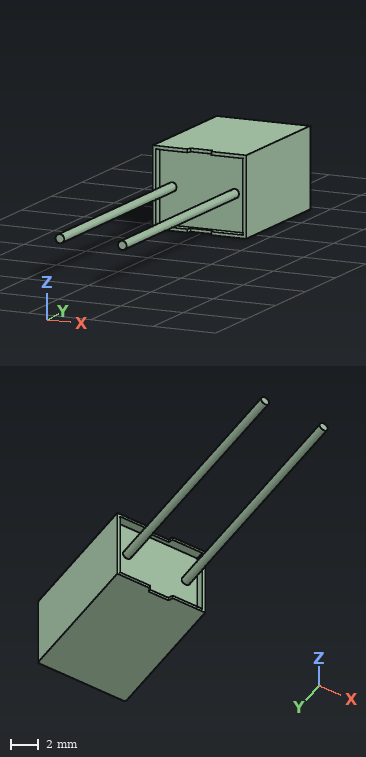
import cadquery as cq

total_length = 29.1
case_width = 7.5
case_height = 6.2
case_length = 11.05

wall = 0.25
end_fillet = 0.47
recess_depth = 0.67
notch_depth = 0.35
notch_mouth_width = 1.92
notch_floor_width = 1.7

lead_diameter = 0.7
lead_spacing = 5.0

lead_tip_y = -total_length / 2
closed_end_y = total_length / 2
open_end_y = closed_end_y - case_length
fill_face_y = open_end_y + recess_depth
cavity_end_y = closed_end_y - wall

cavity_width = case_width - 2 * wall
cavity_height = case_height - 2 * wall


def block_along_y(width, height, start_y, end_y):
    """Rectangular block centred on the Y axis between two stations."""
    return (
        cq.Workplane("XZ", origin=(0, start_y, 0))
        .rect(width, height)
        .extrude(-(end_y - start_y))
    )


def make_notch_cutter():
    """Tapered notch in the open rim, cut through both broad walls."""
    notch_floor_y = open_end_y + notch_depth
    outline = [
        (-notch_mouth_width / 2, open_end_y),
        (notch_mouth_width / 2, open_end_y),
        (notch_floor_width / 2, notch_floor_y),
        (-notch_floor_width / 2, notch_floor_y),
    ]
    return cq.Workplane("XY").polyline(outline).close().extrude(case_height / 2, both=True)


def make_case():
    """Box open at its -Y end, with a rounded rim around the closed end."""
    shell = block_along_y(case_width, case_height, open_end_y, closed_end_y)
    shell = shell.faces(">Y").edges().fillet(end_fillet)
    cavity = block_along_y(cavity_width, cavity_height, open_end_y, cavity_end_y)
    return shell.cut(cavity).cut(make_notch_cutter())


def make_fill():
    """Potting block that fills the case up to the recessed face."""
    return block_along_y(cavity_width, cavity_height, fill_face_y, cavity_end_y)


def make_lead(x):
    """Straight round wire standing on the face of the fill."""
    return (
        cq.Workplane("XZ", origin=(x, lead_tip_y, 0))
        .circle(lead_diameter / 2)
        .extrude(-(fill_face_y - lead_tip_y))
    )


case = make_case()
fill = make_fill()
leads = [make_lead(side * lead_spacing / 2) for side in (-1, 1)]

result = cq.Compound.makeCompound([case.val(), fill.val(), *[lead.val() for lead in leads]])